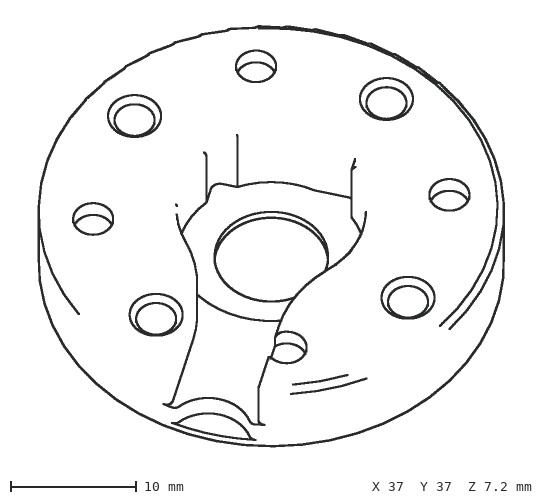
import cadquery as cq
import math

disc_radius = 18.5
thickness = 7.2
edge_round = 0.5

bore_radius = 4.5
pocket_radius = 7.5
pocket_floor = 0.78

channel_angle = -64.5
channel_half_width = 3.5
channel_floor = 2.78
channel_blend_radius = 10.0

step_radius = 7.77
lip_round = edge_round

recess_radius = 3.5
recess_inner_reach = 16.43
recess_floor = pocket_floor

corner_clearances = [(5.15, 7.33), (-6.35, 6.1)]
clearance_corner_radius = 0.75

hole_count = 4
hole_circle_radius = 14.2
hole_radius = 1.6
hole_chamfer = 0.5
countersink_angle = 90
diagonal_angle = 45
blind_hole_depth = 1.5

channel_end = 1.2 * disc_radius


def turned(shape):
    """Turn a shape built along +X so that it follows the channel."""
    return shape.rotate((0, 0, 0), (0, 0, 1), channel_angle)


def prism(outline, floor):
    """Cutter with the given closed outline, from a floor height up to the top face."""
    return outline.extrude(thickness - floor).translate((0, 0, floor))


def pocket_cutter(floor):
    """Round pocket with two rounded corner clearances."""
    cutter = prism(cq.Workplane("XY").circle(pocket_radius), floor)
    for side, back in corner_clearances:
        block = prism(cq.Workplane("XY").rect(back, abs(side), centered=False), floor)
        block = block.edges("|Z and >X and >Y").fillet(clearance_corner_radius)
        block = block.mirror("YZ")
        if side < 0:
            block = block.mirror("XZ")
        cutter = cutter.union(block)
    return turned(cutter)


def channel_cutter(floor):
    """Straight channel whose walls sweep tangentially into the round pocket."""
    blend_offset = channel_half_width + channel_blend_radius
    blend_angle = math.asin(blend_offset / (pocket_radius + channel_blend_radius))
    tangent_x = (pocket_radius + channel_blend_radius) * math.cos(blend_angle)
    start = (pocket_radius * math.cos(blend_angle), pocket_radius * math.sin(blend_angle))
    middle_angle = (blend_angle + math.pi / 2) / 2
    middle = (
        tangent_x - channel_blend_radius * math.cos(middle_angle),
        blend_offset - channel_blend_radius * math.sin(middle_angle),
    )
    outline = (
        cq.Workplane("XY")
        .moveTo(start[0], -start[1])
        .threePointArc((middle[0], -middle[1]), (tangent_x, -channel_half_width))
        .lineTo(channel_end, -channel_half_width)
        .lineTo(channel_end, channel_half_width)
        .lineTo(tangent_x, channel_half_width)
        .threePointArc(middle, start)
        .threePointArc((pocket_radius, 0), (start[0], -start[1]))
        .close()
    )
    return turned(prism(outline, floor))


def step_cutter():
    """Round step at the inner end of the channel, flared by its rounded lip."""
    profile = (
        cq.Workplane("XZ")
        .moveTo(0, pocket_floor)
        .lineTo(step_radius, pocket_floor)
        .lineTo(step_radius, channel_floor - lip_round)
        .radiusArc((step_radius + lip_round, channel_floor), lip_round)
        .lineTo(0, channel_floor)
        .close()
    )
    flared_disc = profile.revolve(360, (0, 0, 0), (0, 1, 0))
    return flared_disc.intersect(channel_cutter(pocket_floor))


def recess_cutter():
    """Round-ended recess at the mouth of the channel."""
    recess_centre = recess_inner_reach + recess_radius
    outline = cq.Workplane("XY").center(recess_centre, 0).circle(recess_radius)
    recess = outline.extrude(channel_floor - recess_floor)
    return turned(recess.translate((0, 0, recess_floor)))


def round_mouth_edges(part, low, high):
    """Round the upright edges where the channel or its recess meets the rim."""
    near_rim = cq.selectors.BoxSelector((0, -disc_radius, low), (disc_radius, -disc_radius / 2, high))
    return part.edges("|Z").edges(near_rim).fillet(edge_round)


def at_hole_ring(part, first_angle):
    """Evenly spaced hole positions on the top face of the part."""
    top = part.faces(">Z").workplane(origin=(0, 0, thickness))
    return top.polarArray(hole_circle_radius, first_angle, 360, hole_count)


body = cq.Workplane("XY").circle(disc_radius).extrude(thickness)
body = body.cut(pocket_cutter(pocket_floor)).cut(channel_cutter(channel_floor))

body = round_mouth_edges(body, channel_floor, thickness)
body = body.faces(">Z").edges().fillet(edge_round)

body = body.cut(step_cutter())
body = body.cut(recess_cutter())
body = round_mouth_edges(body, recess_floor, channel_floor)
body = body.cut(cq.Workplane("XY").circle(bore_radius).extrude(thickness))

body = at_hole_ring(body, 0).cskHole(2 * hole_radius, 2 * (hole_radius + hole_chamfer), countersink_angle)
result = at_hole_ring(body, diagonal_angle).circle(hole_radius).cutBlind(-blind_hole_depth)